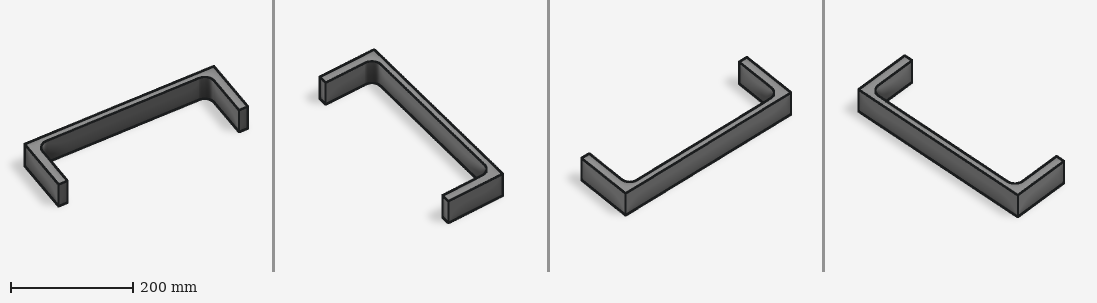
import cadquery as cq

flange_width = 110.0
channel_height = 360.0
length = 50.0
web_thickness = 12.0
flange_thickness = 17.0
root_radius = 18.0

block = cq.Workplane("XY").box(flange_width, channel_height, length)

opening_depth = flange_width - web_thickness
opening_height = channel_height - 2 * flange_thickness
opening = (
    cq.Workplane("XY")
    .box(opening_depth, opening_height, length)
    .translate((web_thickness / 2, 0, 0))
    .edges("|Z and <X")
    .fillet(root_radius)
)

result = block.cut(opening)